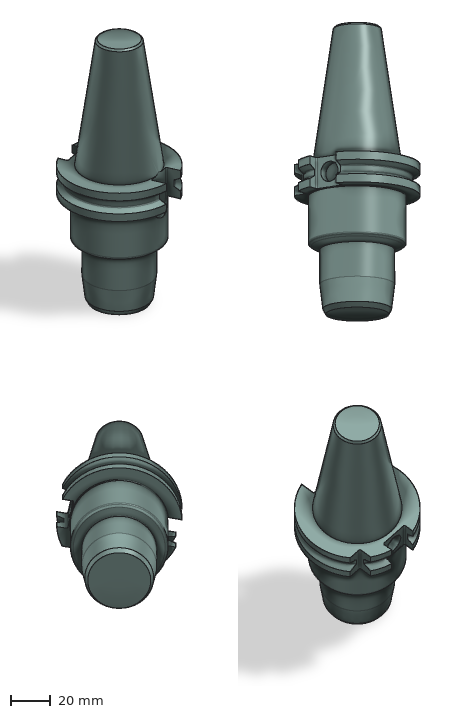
import cadquery as cq

total_height = 148.9
flange_bottom = 61.3
flange_top = 77.5
flange_middle = (flange_bottom + flange_top) / 2

conicity = 7 / 24
taper_base_radius = 22.6
taper_top_radius = taper_base_radius - (total_height - flange_top) * conicity / 2
taper_chamfer = 1.0

flange_diameter = 63.6
flange_radius = flange_diameter / 2
groove_radius = 28.1
groove_floor_half_width = 1.8
groove_mouth_half_width = 3.7

body_radius = 24.7
body_edge_bottom = 37.1
edge_round_bottom = 36.2
edge_round_radius = 24.4
shoulder_top = 35.3
shoulder_outer_radius = 23.2
shoulder_bottom = 33.7

groove_fillet = 0.6
root_fillet = 0.5

nose_diameter = 38.0
nose_radius = nose_diameter / 2
nose_taper_top = 15.3
nose_tip_radius = 17.4
nose_chamfer_height = 2.7
nose_end_radius = 16.0

slot_width = 16.0
left_slot_floor = 25.0
right_slot_floor = 22.5
corner_fillet = 0.7
notch_x = -18.6
notch_y = 18.5

hole_diameter = 10.4
hole_depth = 4.5

cut_margin = 7.5


def circle_edge(radius, height):
    """Select the circular edge of the given radius and height around Z."""
    tolerance = 0.01
    return cq.selectors.BoxSelector(
        (-radius - tolerance, -radius - tolerance, height - tolerance),
        (radius + tolerance, radius + tolerance, height + tolerance),
        boundingbox=True,
    )


def turned_body():
    """Revolve the half profile of the whole holder about Z."""
    blank = (
        cq.Workplane("XZ")
        .moveTo(0, 0)
        .lineTo(nose_end_radius, 0)
        .lineTo(nose_tip_radius, nose_chamfer_height)
        .lineTo(nose_radius, nose_taper_top)
        .lineTo(nose_radius, shoulder_bottom)
        .lineTo(shoulder_outer_radius, shoulder_top)
        .lineTo(edge_round_radius, edge_round_bottom)
        .tangentArcPoint((body_radius, body_edge_bottom), relative=False)
        .lineTo(body_radius, flange_bottom)
        .lineTo(flange_radius, flange_bottom)
        .lineTo(flange_radius, flange_middle - groove_mouth_half_width)
        .lineTo(groove_radius, flange_middle - groove_floor_half_width)
        .lineTo(groove_radius, flange_middle + groove_floor_half_width)
        .lineTo(flange_radius, flange_middle + groove_mouth_half_width)
        .lineTo(flange_radius, flange_top)
        .lineTo(taper_base_radius, flange_top)
        .lineTo(taper_top_radius, total_height - taper_chamfer)
        .lineTo(taper_top_radius - taper_chamfer, total_height)
        .lineTo(0, total_height)
        .close()
        .revolve(360, (0, 0, 0), (0, 1, 0))
    )
    for side in (-1, 1):
        height = flange_middle + side * groove_floor_half_width
        blank = blank.edges(circle_edge(groove_radius, height)).fillet(groove_fillet)
    blank = blank.edges(circle_edge(body_radius, flange_bottom)).fillet(root_fillet)
    return blank.edges(circle_edge(nose_radius, shoulder_bottom)).fillet(root_fillet)


def slot_cutter(side, floor):
    """Radial slot open at the top, with a semicircular lower end; side is +1 or -1 along X."""
    length = flange_radius + cut_margin - floor
    half_width = slot_width / 2
    cutter = (
        cq.Workplane("YZ", origin=(floor, 0, 0))
        .moveTo(-half_width, flange_top + cut_margin)
        .lineTo(-half_width, flange_bottom)
        .threePointArc((0, flange_bottom - half_width), (half_width, flange_bottom))
        .lineTo(half_width, flange_top + cut_margin)
        .close()
        .extrude(length)
        .faces("<X")
        .edges("not >Z")
        .fillet(corner_fillet)
    )
    return cutter if side > 0 else cutter.mirror("YZ")


def notch_cutter():
    """Square corner notch through the flange, rounded along its inner edge."""
    size = flange_radius
    return (
        cq.Workplane("XY", origin=(notch_x, notch_y, flange_bottom))
        .box(size, size, flange_top - flange_bottom, centered=False)
        .translate((-size, 0, 0))
        .edges("|Z and >X and <Y")
        .fillet(corner_fillet)
    )


def hole_cutter():
    """Flat-bottomed blind hole along X, opening in the left slot floor."""
    return (
        cq.Workplane("YZ", origin=(-left_slot_floor, 0, flange_middle))
        .circle(hole_diameter / 2)
        .extrude(hole_depth)
    )


result = (
    turned_body()
    .cut(slot_cutter(-1, left_slot_floor))
    .cut(slot_cutter(1, right_slot_floor))
    .cut(notch_cutter())
    .cut(hole_cutter())
)